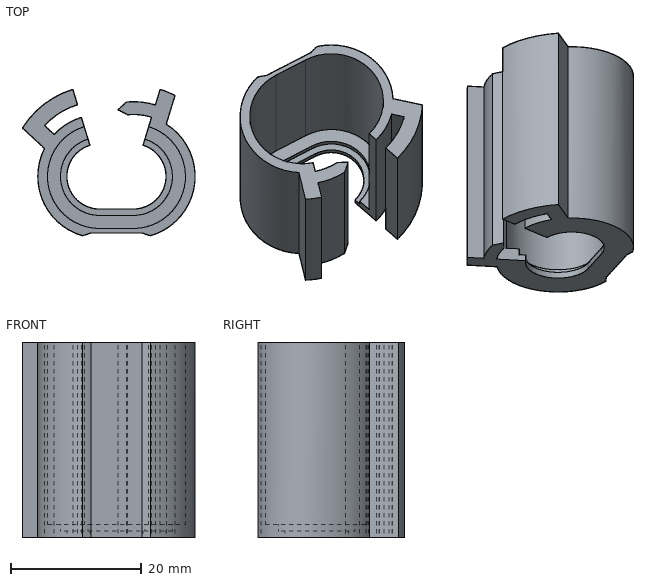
import cadquery as cq
import math

height = 30.0
end_offset = 2.6
outer_radius = 9.5
bore_radius = 8.0

ledge_radius = 6.0
ledge_top = 2.0
lip_radius = 5.0
lip_top = 1.0

gap_angle = 17.0
gap_reach = 20.0

recess_floor_y = -8.7
recess_floor_half = 3.9
recess_mouth_half = 5.2

latch_radius = 14.0
slot_radius = 11.5
root_radius = 8.5
hook_angle = 47.2
hook_arm_width = 2.6
post_width = 2.5
tongue_shoulder_angle = 5.3
tongue_tip_angle = 13.2


def polar(side, radius, angle, across=0.0):
    """Point at a radius from one end-arc centre.

    side is +1 for the +X end and -1 for the -X end; angle is in degrees from +Y,
    positive away from the opening; across shifts the point sideways, away from the opening.
    """
    a = math.radians(angle)
    x = end_offset + radius * math.sin(a) + across * math.cos(a)
    y = radius * math.cos(a) - across * math.sin(a)
    return (side * x, y)


def oval(radius, bottom, top):
    """Solid stadium between two heights, concentric with the sleeve."""
    length = 2 * (end_offset + radius)
    return cq.Workplane("XY").workplane(offset=bottom).slot2D(length, 2 * radius).extrude(top - bottom)


def radial_arm(side, angle, width):
    """Straight arm from the wall to the latch radius, one face radial at the given angle."""
    outer_along = math.sqrt(latch_radius**2 - width**2)
    far_angle = angle + math.degrees(math.asin(width / latch_radius))
    return (
        cq.Workplane("XY")
        .moveTo(*polar(side, root_radius, angle))
        .lineTo(*polar(side, latch_radius, angle))
        .threePointArc(
            polar(side, latch_radius, (angle + far_angle) / 2),
            polar(side, outer_along, angle, width),
        )
        .lineTo(*polar(side, root_radius, angle, width))
        .close()
        .extrude(height)
    )


def make_sleeve():
    sleeve = oval(outer_radius, 0, height)
    sleeve = sleeve.cut(oval(bore_radius, ledge_top, height))
    sleeve = sleeve.cut(oval(ledge_radius, lip_top, height))
    return sleeve.cut(oval(lip_radius, 0, height))


def make_opening():
    corners = [
        (-end_offset, 0),
        polar(-1, gap_reach, gap_angle),
        polar(1, gap_reach, gap_angle),
        (end_offset, 0),
    ]
    return cq.Workplane("XY").polyline(corners).close().extrude(height)


def make_recess():
    mouth_y = -math.sqrt(outer_radius**2 - (recess_mouth_half - end_offset) ** 2)
    corners = [
        (-recess_floor_half, recess_floor_y),
        (recess_floor_half, recess_floor_y),
        (recess_mouth_half, mouth_y),
        (recess_mouth_half, -outer_radius),
        (-recess_mouth_half, -outer_radius),
        (-recess_mouth_half, mouth_y),
    ]
    return cq.Workplane("XY").polyline(corners).close().extrude(height)


def make_hook():
    middle_angle = (gap_angle + hook_angle) / 2
    finger = (
        cq.Workplane("XY")
        .moveTo(*polar(-1, slot_radius, gap_angle))
        .lineTo(*polar(-1, latch_radius, gap_angle))
        .threePointArc(polar(-1, latch_radius, middle_angle), polar(-1, latch_radius, hook_angle))
        .lineTo(*polar(-1, slot_radius, hook_angle))
        .threePointArc(polar(-1, slot_radius, middle_angle), polar(-1, slot_radius, gap_angle))
        .close()
        .extrude(height)
    )
    return radial_arm(-1, hook_angle, hook_arm_width).union(finger)


def make_post_and_tongue():
    tip_radius = (outer_radius + slot_radius) / 2
    middle_angle = (gap_angle - tongue_shoulder_angle) / 2
    tongue = (
        cq.Workplane("XY")
        .moveTo(*polar(1, outer_radius, gap_angle))
        .lineTo(*polar(1, slot_radius, gap_angle))
        .threePointArc(
            polar(1, slot_radius, middle_angle),
            polar(1, slot_radius, -tongue_shoulder_angle),
        )
        .lineTo(*polar(1, tip_radius, -tongue_tip_angle))
        .lineTo(*polar(1, outer_radius, -tongue_shoulder_angle))
        .threePointArc(
            polar(1, outer_radius, middle_angle),
            polar(1, outer_radius, gap_angle),
        )
        .close()
        .extrude(height)
    )
    return radial_arm(1, gap_angle, post_width).union(tongue)


result = (
    make_sleeve()
    .cut(make_opening())
    .cut(make_recess())
    .union(make_hook())
    .union(make_post_and_tongue())
)